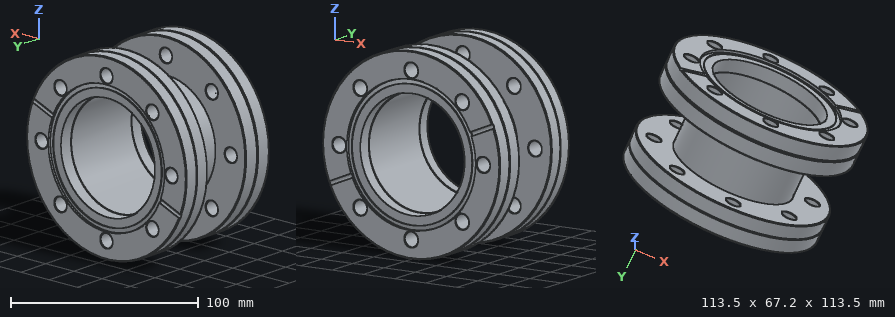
import cadquery as cq
import math


total_length = 67.2
flange_radius = 113.5 / 2
ring_thickness = 19.2
fixed_thickness = 17.3
edge_chamfer = 0.5

tube_radius = 70.0 / 2
tube_bore_radius = 66.0 / 2
mouth_radius = 66.7 / 2
socket_radius = 70.2 / 2
ring_bore_radius = 70.5 / 2
tube_end_depth = 9.2

recess_radius = 82.5 / 2
insert_radius = 82.3 / 2
knife_radius = 77.1 / 2
knife_tip_depth = 0.6
knife_slope = 20.0
seal_floor_depth = 1.2
insert_back_depth = 12.0

bolt_count = 8
bolt_hole_diameter = 8.4
bolt_hole_chamfer = 0.3
bolt_circle_radius = 92.2 / 2

ring_rim_groove_width = 1.2
fixed_rim_groove_width = 0.8
rim_groove_depth = 0.2
leak_groove_width = 2.4
leak_groove_depth = 0.8
leak_groove_angle = 22.5


def slope_depth(radius):
    """Depth of the conical knife flank at a radius outside the knife tip."""
    return knife_tip_depth + (radius - knife_radius) * math.tan(math.radians(knife_slope))


def revolve(points):
    """Turn a (radius, depth) outline about the Y axis, with depth along +Y."""
    return cq.Workplane("XY").polyline(points).close().revolve(360, (0, 0, 0), (0, 1, 0))


def rim_points(thickness, groove_width):
    """Outer edge of a flange from its sealing face to its back, with a V groove at mid-thickness."""
    middle = thickness / 2
    half_groove = groove_width / 2
    return [
        (flange_radius - edge_chamfer, 0),
        (flange_radius, edge_chamfer),
        (flange_radius, middle - half_groove),
        (flange_radius - rim_groove_depth, middle),
        (flange_radius, middle + half_groove),
        (flange_radius, thickness - edge_chamfer),
        (flange_radius - edge_chamfer, thickness),
    ]


def knife_points(outer_radius):
    """Seal face from the mouth of the bore, over the knife tip, down to the given radius."""
    return [
        (mouth_radius, seal_floor_depth),
        (knife_radius, seal_floor_depth),
        (knife_radius, knife_tip_depth),
        (outer_radius, slope_depth(outer_radius)),
    ]


def bolt_holes(thickness):
    """Cutters for the ring of through holes, each chamfered at both ends."""
    radius = bolt_hole_diameter / 2
    mouth = radius + bolt_hole_chamfer
    hole = revolve([
        (0, 0),
        (mouth, 0),
        (radius, bolt_hole_chamfer),
        (radius, thickness - bolt_hole_chamfer),
        (mouth, thickness),
        (0, thickness),
    ]).translate((bolt_circle_radius, 0, 0))
    holes = cq.Workplane("XY")
    for index in range(bolt_count):
        holes = holes.add(hole.rotate((0, 0, 0), (0, 1, 0), index * 360 / bolt_count))
    return holes.combine()


def leak_grooves():
    """Two opposite round-bottomed channels from the seal recess out to the rim."""
    half_width = leak_groove_width / 2
    channel = (
        cq.Workplane("YZ")
        .moveTo(0, -half_width)
        .threePointArc((leak_groove_depth, 0), (0, half_width))
        .close()
        .extrude(flange_radius, both=True)
    )
    core = cq.Workplane("XZ").circle(insert_radius).extrude(-leak_groove_depth)
    return channel.cut(core).rotate((0, 0, 0), (0, 1, 0), -leak_groove_angle)


def make_ring():
    """Rotatable bolt ring, free to turn around the insert."""
    outline = rim_points(ring_thickness, ring_rim_groove_width) + [
        (ring_bore_radius, ring_thickness),
        (ring_bore_radius, insert_back_depth),
        (recess_radius, insert_back_depth),
        (recess_radius, 0),
    ]
    return revolve(outline).cut(bolt_holes(ring_thickness)).cut(leak_grooves())


def make_insert():
    """Knife-edge insert that sits in the ring and holds the end of the tube."""
    outline = knife_points(insert_radius) + [
        (insert_radius, insert_back_depth),
        (socket_radius, insert_back_depth),
        (socket_radius, tube_end_depth),
        (mouth_radius, tube_end_depth),
    ]
    return revolve(outline)


def make_fixed_flange():
    """One-piece flange with its own knife edge and tube socket."""
    outline = knife_points(recess_radius) + [(recess_radius, 0)]
    outline += rim_points(fixed_thickness, fixed_rim_groove_width)
    outline += [
        (socket_radius, fixed_thickness),
        (socket_radius, tube_end_depth),
        (mouth_radius, tube_end_depth),
    ]
    return revolve(outline).cut(bolt_holes(fixed_thickness)).cut(leak_grooves())


def make_tube():
    end = total_length / 2 - tube_end_depth
    return revolve([
        (tube_bore_radius, -end),
        (tube_radius, -end),
        (tube_radius, end),
        (tube_bore_radius, end),
    ])


front_face = (0, -total_length / 2, 0)
ring = make_ring().translate(front_face)
insert = make_insert().translate(front_face)
fixed_flange = make_fixed_flange().mirror("XZ").translate((0, total_length / 2, 0)).solids()
tube = make_tube()

result = cq.Compound.makeCompound([ring.val(), insert.val(), fixed_flange.val(), tube.val()])